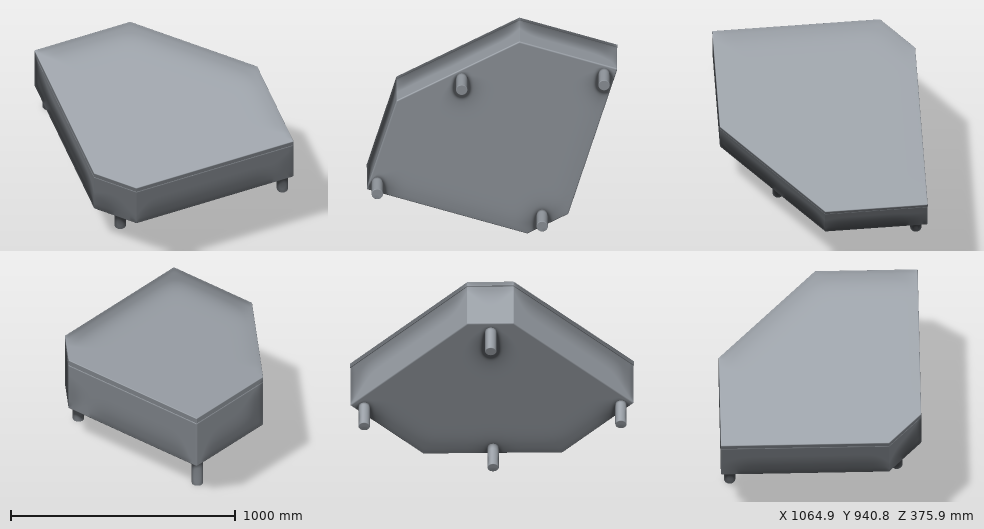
import cadquery as cq

SQUARE_SIDE = 895.35
SMALL_CUT = 146.05
LARGE_CUT = 438.15
PLAN_TURN = -12.346

TOTAL_HEIGHT = 375.92
LEG_HEIGHT = 121.92
COVER_HEIGHT = 25.4
BASE_HEIGHT = TOTAL_HEIGHT - LEG_HEIGHT - COVER_HEIGHT

COVER_ROUND = 3.175
BASE_CORNER_ROUND = 6.35
BASE_RIM_ROUND = 6.35

LEG_DIAMETER = 50.8
LEG_FOOT_ROUND = 2.54
FIRST_CORNER_INSET = (40.0, 50.5)
OPPOSITE_CORNER_INSET = (47.6, 36.1)
SMALL_CUT_INSET = (109.9, 110.7)
LARGE_CUT_INSET = (247.4, 245.4)



def plan_prism(bottom, height):
    """Upright prism of the cut square, first corner on the Z axis."""
    outline = [
        (0, 0),
        (SQUARE_SIDE - SMALL_CUT, 0),
        (SQUARE_SIDE, SMALL_CUT),
        (SQUARE_SIDE, SQUARE_SIDE),
        (LARGE_CUT, SQUARE_SIDE),
        (0, SQUARE_SIDE - LARGE_CUT),
    ]
    return cq.Workplane("XY").workplane(offset=bottom).polyline(outline).close().extrude(height)


def turned(body):
    """Turn a body about the Z axis into its final direction."""
    return body.rotate((0, 0, 0), (0, 0, 1), PLAN_TURN)


def make_base():
    base = plan_prism(LEG_HEIGHT, BASE_HEIGHT)
    base = base.edges("|Z").fillet(BASE_CORNER_ROUND)
    base = base.faces("<Z or >Z").edges().fillet(BASE_RIM_ROUND)
    return turned(base)


def make_cover():
    cover = plan_prism(LEG_HEIGHT + BASE_HEIGHT, COVER_HEIGHT)
    cover = cover.edges("|Z").fillet(COVER_ROUND)
    cover = cover.faces(">Z").edges().fillet(COVER_ROUND)
    return turned(cover)


def make_leg(center):
    leg = cq.Workplane("XY").center(*center).circle(LEG_DIAMETER / 2).extrude(LEG_HEIGHT)
    leg = leg.faces("<Z").edges().fillet(LEG_FOOT_ROUND)
    return turned(leg)


leg_centers = [
    FIRST_CORNER_INSET,
    (SQUARE_SIDE - OPPOSITE_CORNER_INSET[0], SQUARE_SIDE - OPPOSITE_CORNER_INSET[1]),
    (SQUARE_SIDE - SMALL_CUT_INSET[0], SMALL_CUT_INSET[1]),
    (LARGE_CUT_INSET[0], SQUARE_SIDE - LARGE_CUT_INSET[1]),
]

base = make_base()
cover = make_cover()
legs = [make_leg(center) for center in leg_centers]

result = cq.Compound.makeCompound([base.val(), cover.val(), *[leg.val() for leg in legs]])